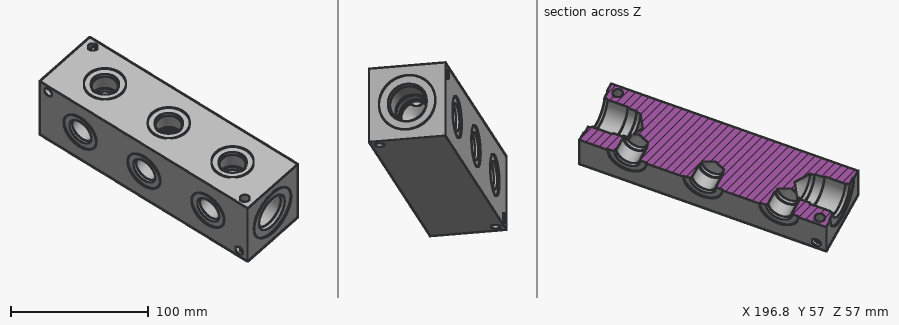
import cadquery as cq
import math

LENGTH = 196.8
WIDTH = 57.0

MOUNT_DIA = 7.0
MOUNT_END_INSET = 8.0
MOUNT_EDGE_INSET = 6.3

PORTS_PER_FACE = 3
PORT_PITCH = 60.5

SPOTFACE_DEPTH = 0.8
SIDE_PORT = {
    "spotface_dia": 30.7,
    "seat_dia": 20.7,
    "seat_base_dia": 19.3,
    "seat_depth": 3.0,
    "bores": [(19.0, 15.0), (17.5, 18.1)],
    "point_angle": 130.0,
}
TOP_MIDDLE_PORT = {
    **SIDE_PORT,
    "bores": [(19.0, 15.0), (17.5, 17.0), (16.0, 18.1)],
    "point_angle": 118.0,
}
END_PORT = {
    "spotface_dia": 42.1,
    "seat_dia": 29.1,
    "seat_base_dia": 27.4,
    "seat_depth": 3.7,
    "bores": [(27.0, 20.0), (25.0, 27.5), (23.0, 31.0)],
    "point_angle": 118.0,
}


def port_cutter(port):
    """Stepped port cavity, opening at the origin and running down along -Z."""
    profile = [
        (0, 0),
        (port["spotface_dia"] / 2, 0),
        (port["spotface_dia"] / 2, -SPOTFACE_DEPTH),
        (port["seat_dia"] / 2, -SPOTFACE_DEPTH),
        (port["seat_base_dia"] / 2, -port["seat_depth"]),
    ]
    step_depth = port["seat_depth"]
    for bore_dia, bore_depth in port["bores"]:
        profile.append((bore_dia / 2, -step_depth))
        profile.append((bore_dia / 2, -bore_depth))
        step_depth = bore_depth
    last_radius = profile[-1][0]
    point_length = last_radius / math.tan(math.radians(port["point_angle"] / 2))
    profile.append((0, -step_depth - point_length))
    return cq.Workplane("XZ").polyline(profile).close().revolve(360, (0, 0), (0, 1))


def face_cutters(middle_port):
    """Port row and diagonal pair of mounting holes, placed for the top face."""
    cutters = []
    middle_index = PORTS_PER_FACE // 2
    for index in range(PORTS_PER_FACE):
        x = (index - middle_index) * PORT_PITCH
        port = middle_port if index == middle_index else SIDE_PORT
        cutters.append(port_cutter(port).translate((x, 0, WIDTH / 2)))
    mount_x = LENGTH / 2 - MOUNT_END_INSET
    mount_y = WIDTH / 2 - MOUNT_EDGE_INSET
    for side in (-1, 1):
        hole = cq.Workplane("XY").circle(MOUNT_DIA / 2).extrude(WIDTH / 2, both=True)
        cutters.append(hole.translate((side * mount_x, -side * mount_y, 0)))
    return cutters


result = cq.Workplane("XY").box(LENGTH, WIDTH, WIDTH)

for cutter in face_cutters(TOP_MIDDLE_PORT):
    result = result.cut(cutter)

for cutter in face_cutters(SIDE_PORT):
    result = result.cut(cutter.rotate((0, 0, 0), (1, 0, 0), 90))

for side in (-1, 1):
    end_cutter = port_cutter(END_PORT).rotate((0, 0, 0), (0, 1, 0), side * 90)
    result = result.cut(end_cutter.translate((side * LENGTH / 2, 0, 0)))